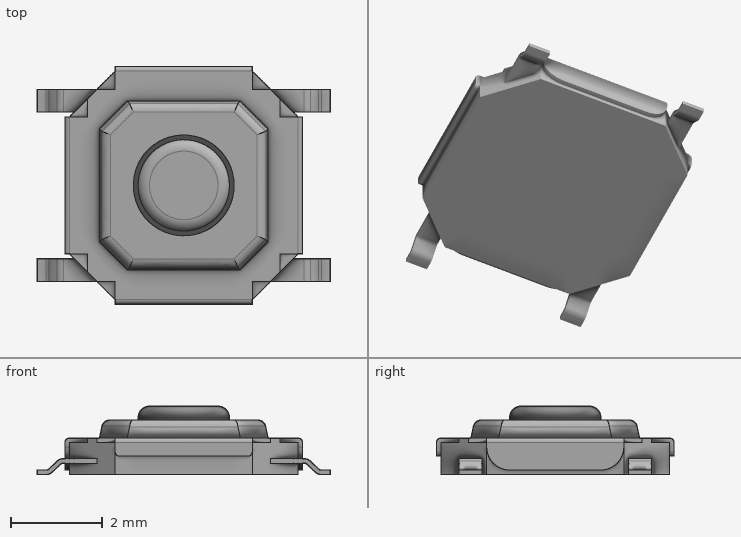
import cadquery as cq
import math

sheet = 0.1
overall_y = 5.2
base_width = overall_y - 2 * sheet
base_height = 0.7
corner_cut = 1.0
arm_width = base_width - 2 * corner_cut

cover_top = base_height + sheet
plate_width = 4.2
flange_bottom_x = 0.1
flange_radius_x = 0.5
flange_bottom_y = 0.4
flange_radius_y = 0.095

dome_top = 1.2
dome_bottom_width = 3.685
dome_draft = 12.0
dome_corner_cut = 0.61
dome_edge_radius = 0.19

total_height = 1.5
button_diameter = 2.0
button_edge_radius = 0.25
hole_diameter = 2.2

overall_x = 6.4
lead_width = 0.5
lead_y = (plate_width - lead_width) / 2
lead_inner_x = 1.855
lead_rise = 0.25
shoulder_x = 2.71
foot_x = 2.97
bend_inner_radius = 0.095
bend_outer_radius = bend_inner_radius + sheet


def cut_square(plane, width, cut):
    """Closed outline of a square with its four corners cut at 45 degrees."""
    half = width / 2
    short = half - cut
    points = [
        (half, short), (short, half), (-short, half), (-half, short),
        (-half, -short), (-short, -half), (short, -half), (half, -short),
    ]
    return plane.polyline(points).close()


def make_base():
    return cut_square(cq.Workplane("XY"), base_width, corner_cut).extrude(base_height)


def make_strap(bottom, corner_radius):
    """Sheet running across the housing in X and folded down over both sides."""
    length = base_width + 2 * sheet
    height = cover_top - bottom
    strap = (
        cq.Workplane("XY")
        .workplane(offset=bottom)
        .box(length, arm_width, height, centered=(True, True, False))
        .edges("|Y and >Z")
        .fillet(sheet)
        .edges("|X and <Z")
        .fillet(corner_radius)
    )
    inside = cq.Workplane("XY").box(
        base_width, arm_width, base_height, centered=(True, True, False)
    )
    return strap.cut(inside)


def make_cover():
    plate_cut = corner_cut - (base_width - plate_width)
    plate = cut_square(
        cq.Workplane("XY").workplane(offset=base_height), plate_width, plate_cut
    ).extrude(sheet)
    strap_x = make_strap(flange_bottom_x, flange_radius_x)
    strap_y = make_strap(flange_bottom_y, flange_radius_y).rotate((0, 0, 0), (0, 0, 1), 90)
    return plate.union(strap_x).union(strap_y)


def make_dome():
    height = dome_top - cover_top
    top_width = dome_bottom_width - 2 * height * math.tan(math.radians(dome_draft))
    bottom = cut_square(
        cq.Workplane("XY").workplane(offset=cover_top), dome_bottom_width, dome_corner_cut
    )
    dome = cut_square(bottom.workplane(offset=height), top_width, dome_corner_cut).loft(ruled=True)
    return dome.faces(">Z").edges().fillet(dome_edge_radius)


def make_hole():
    depth = dome_top - base_height
    return cq.Workplane("XY").workplane(offset=base_height).circle(hole_diameter / 2).extrude(depth)


def make_button():
    return (
        cq.Workplane("XY")
        .workplane(offset=base_height)
        .circle(button_diameter / 2)
        .extrude(total_height - base_height)
        .faces(">Z")
        .edges()
        .fillet(button_edge_radius)
    )


def make_lead():
    """Lead at the +X +Y corner: flat shoulder, sloping leg and flat foot."""
    slope = math.atan2(lead_rise, foot_x - shoulder_x)
    shift = sheet * math.tan(slope / 2)
    end_x = overall_x / 2
    foot_top = sheet
    shoulder_bottom = lead_rise
    shoulder_top = lead_rise + sheet
    profile = [
        (lead_inner_x, shoulder_top),
        (shoulder_x, shoulder_top),
        (foot_x, foot_top),
        (end_x, foot_top),
        (end_x, 0),
        (foot_x - shift, 0),
        (shoulder_x - shift, shoulder_bottom),
        (lead_inner_x, shoulder_bottom),
    ]
    lead = (
        cq.Workplane("XZ", origin=(0, lead_y + lead_width / 2, 0))
        .polyline(profile)
        .close()
        .extrude(lead_width)
    )
    outer_bends = [(shoulder_x, shoulder_top), (foot_x - shift, 0)]
    inner_bends = [(foot_x, foot_top), (shoulder_x - shift, shoulder_bottom)]
    for bends, radius in ((outer_bends, bend_outer_radius), (inner_bends, bend_inner_radius)):
        for x, z in bends:
            bend_edge = cq.selectors.NearestToPointSelector((x, lead_y, z))
            lead = lead.edges("|Y").edges(bend_edge).fillet(radius)
    return lead


result = make_base().union(make_cover()).union(make_dome()).cut(make_hole()).union(make_button())

lead = make_lead()
lead_pair = lead.union(lead.mirror("YZ"))
result = result.union(lead_pair).union(lead_pair.mirror("XZ"))